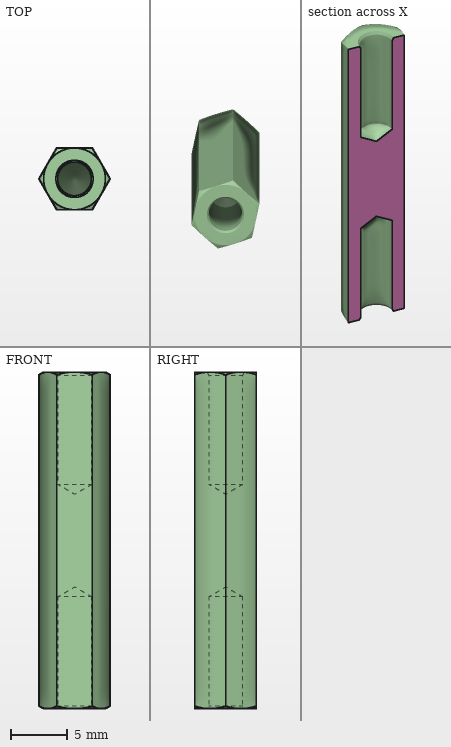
import cadquery as cq
import math

length = 30.0
across_corners = 6.36

chamfer_angle = 30.0
end_face_diameter = 5.5
chamfer_width = (across_corners - end_face_diameter) / 2
chamfer_height = chamfer_width * math.tan(math.radians(chamfer_angle))

hole_diameter = 3.0
mouth_diameter = 3.32
mouth_angle = 60.0
mouth_depth = (mouth_diameter - hole_diameter) / 2 / math.tan(math.radians(mouth_angle / 2))
hole_depth = 10.0
drill_point_angle = 120.0
drill_point_height = hole_diameter / 2 / math.tan(math.radians(drill_point_angle / 2))


def hex_body():
    """Plain hexagonal bar over the full length."""
    return cq.Workplane("XY").polygon(6, across_corners).extrude(length)


def corner_envelope():
    """Turned blank, conical at both ends, that trims the hexagon corners."""
    corner_radius = across_corners / 2
    end_radius = end_face_diameter / 2
    profile = (
        cq.Workplane("XZ")
        .moveTo(0, 0)
        .lineTo(end_radius, 0)
        .lineTo(corner_radius, chamfer_height)
        .lineTo(corner_radius, length - chamfer_height)
        .lineTo(end_radius, length)
        .lineTo(0, length)
        .close()
    )
    return profile.revolve(360, (0, 0, 0), (0, 1, 0))


def top_hole():
    """Blind hole entering from the top face."""
    hole_radius = hole_diameter / 2
    hole_bottom = length - hole_depth
    profile = (
        cq.Workplane("XZ")
        .moveTo(0, length)
        .lineTo(mouth_diameter / 2, length)
        .lineTo(hole_radius, length - mouth_depth)
        .lineTo(hole_radius, hole_bottom)
        .lineTo(0, hole_bottom - drill_point_height)
        .close()
    )
    return profile.revolve(360, (0, 0, 0), (0, 1, 0))


def bottom_hole():
    """The top hole mirrored about the middle of the length."""
    return top_hole().mirror("XY", (0, 0, length / 2))


result = hex_body().intersect(corner_envelope()).cut(top_hole()).cut(bottom_hole())